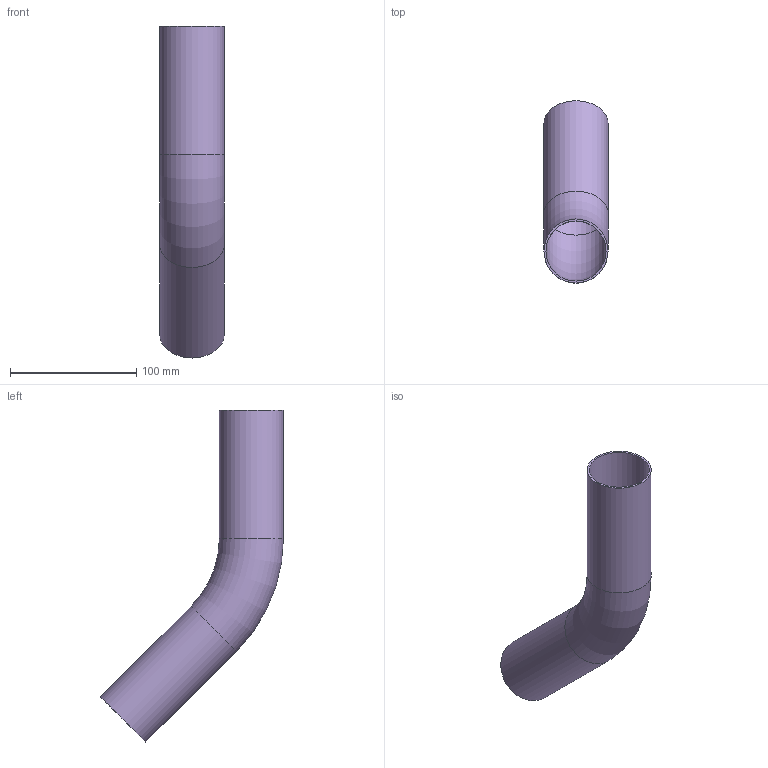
import cadquery as cq
import math

outer_diameter = 50.8
inner_diameter = 47.6
leg_length = 101.6
bend_radius = 101.6
bend_angle = 45.0

angle = math.radians(bend_angle)
half_angle = angle / 2


def point_on_bend(turn):
    """Return the (y, z) point of the bend axis after the given turn in radians."""
    return (bend_radius * (1 - math.cos(turn)), -bend_radius * math.sin(turn))


bend_end = point_on_bend(angle)
lower_end = (
    bend_end[0] + leg_length * math.sin(angle),
    bend_end[1] - leg_length * math.cos(angle),
)


def tube_axis():
    """Centreline from the top end, through the bend, to the lower end."""
    return (
        cq.Workplane("YZ")
        .moveTo(0, leg_length)
        .lineTo(0, 0)
        .threePointArc(point_on_bend(half_angle), bend_end)
        .lineTo(*lower_end)
    )


def bent_tube():
    """Sweep the ring-shaped wall section along the centreline."""
    wall_section = (
        cq.Workplane("XY", origin=(0, 0, leg_length))
        .circle(outer_diameter / 2)
        .circle(inner_diameter / 2)
    )
    return wall_section.sweep(tube_axis())


result = bent_tube()